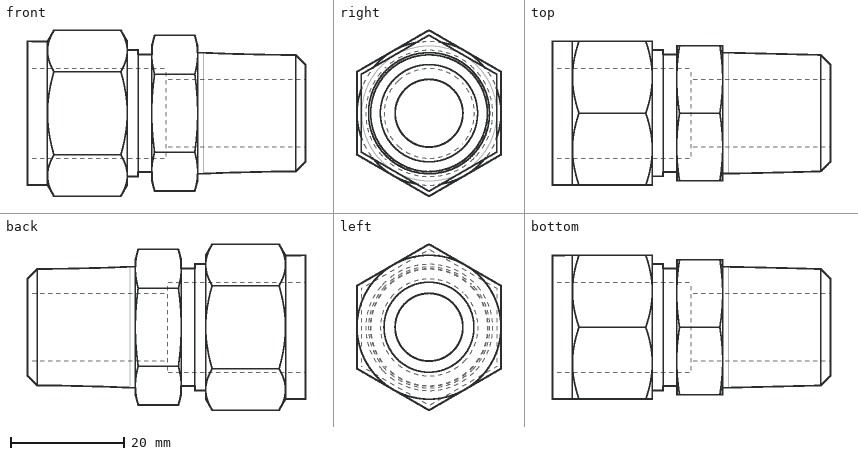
import cadquery as cq
import math

LENGTH = 49.0

NUT_HEX_START = 3.55
NUT_HEX_END = 17.6
SHOULDER_END = 19.5
BODY_HEX_START = 21.9
BODY_HEX_END = 30.0
TAPER_START = 31.05

NUT_FLATS = 25.4
NUT_CHAMFER_ANGLE = 30.0
BODY_FLATS = 23.8
BODY_CHAMFER_ANGLE = 15.0

COLLAR_DIAMETER = NUT_FLATS
SHOULDER_DIAMETER = 22.35
NECK_DIAMETER = 20.8
TAPER_LARGE_DIAMETER = 21.35
TAPER_SMALL_DIAMETER = 20.6
TIP_CHAMFER = 1.7

TUBE_BORE_DIAMETER = 15.9
TUBE_BORE_DEPTH = 24.4
THROUGH_BORE_DIAMETER = 11.9


def cylinder(start, end, diameter):
    """Round bar along X between two axial positions."""
    return cq.Workplane("YZ", origin=(start, 0, 0)).circle(diameter / 2).extrude(end - start)


def revolve_about_axis(profile):
    """Revolve a closed (axial, radial) profile around the X axis."""
    return cq.Workplane("XY").polyline(profile).close().revolve(360, (0, 0, 0), (1, 0, 0))


def chamfered_hex(start, end, flats, chamfer_angle):
    """Hexagon with corners toward +Z and -Z, its corners cut back by a cone at each end."""
    corner_radius = flats / math.sqrt(3)
    flat_radius = flats / 2
    chamfer_depth = (corner_radius - flat_radius) * math.tan(math.radians(chamfer_angle))
    prism = (
        cq.Workplane("YZ", origin=(start, 0, 0))
        .transformed(rotate=(0, 0, 90))
        .polygon(6, 2 * corner_radius)
        .extrude(end - start)
    )
    envelope = revolve_about_axis([
        (start, 0),
        (start, flat_radius),
        (start + chamfer_depth, corner_radius),
        (end - chamfer_depth, corner_radius),
        (end, flat_radius),
        (end, 0),
    ])
    return prism.intersect(envelope)


def tapered_end():
    """Short straight length, then a slight taper ending in a 45 degree chamfer."""
    large_radius = TAPER_LARGE_DIAMETER / 2
    small_radius = TAPER_SMALL_DIAMETER / 2
    return revolve_about_axis([
        (BODY_HEX_END, 0),
        (BODY_HEX_END, large_radius),
        (TAPER_START, large_radius),
        (LENGTH - TIP_CHAMFER, small_radius),
        (LENGTH, small_radius - TIP_CHAMFER),
        (LENGTH, 0),
    ])


nut = cylinder(0, NUT_HEX_START, COLLAR_DIAMETER).union(
    chamfered_hex(NUT_HEX_START, NUT_HEX_END, NUT_FLATS, NUT_CHAMFER_ANGLE)
)

body = (
    cylinder(NUT_HEX_END, SHOULDER_END, SHOULDER_DIAMETER)
    .union(cylinder(SHOULDER_END, BODY_HEX_START, NECK_DIAMETER))
    .union(chamfered_hex(BODY_HEX_START, BODY_HEX_END, BODY_FLATS, BODY_CHAMFER_ANGLE))
    .union(tapered_end())
)

tube_bore = cylinder(0, TUBE_BORE_DEPTH, TUBE_BORE_DIAMETER)
through_bore = cylinder(0, LENGTH, THROUGH_BORE_DIAMETER)

result = nut.union(body).cut(tube_bore).cut(through_bore)